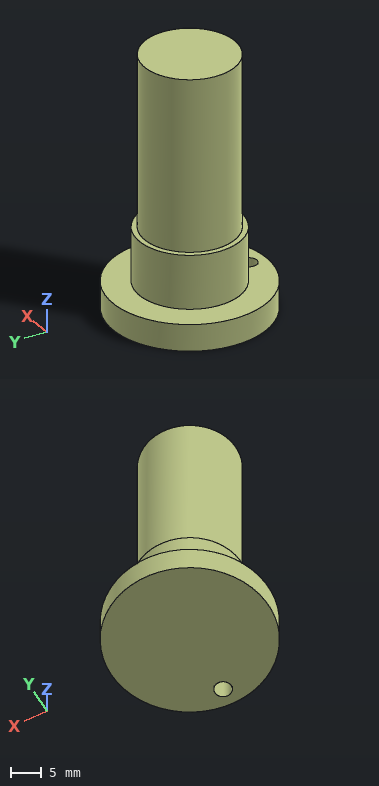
import cadquery as cq

total_height = 47.0
flange_diameter = 29.0
flange_thickness = 5.0
collar_diameter = 19.0
collar_height = 10.0
shaft_diameter = 17.0
shaft_height = total_height - flange_thickness - collar_height

hole_diameter = 3.0
hole_offset = 11.25

body = (
    cq.Workplane("XY")
    .circle(flange_diameter / 2)
    .extrude(flange_thickness)
    .faces(">Z")
    .workplane()
    .circle(collar_diameter / 2)
    .extrude(collar_height)
    .faces(">Z")
    .workplane()
    .circle(shaft_diameter / 2)
    .extrude(shaft_height)
)

flange_hole = (
    cq.Workplane("XY")
    .center(0, -hole_offset)
    .circle(hole_diameter / 2)
    .extrude(flange_thickness)
)

result = body.cut(flange_hole)